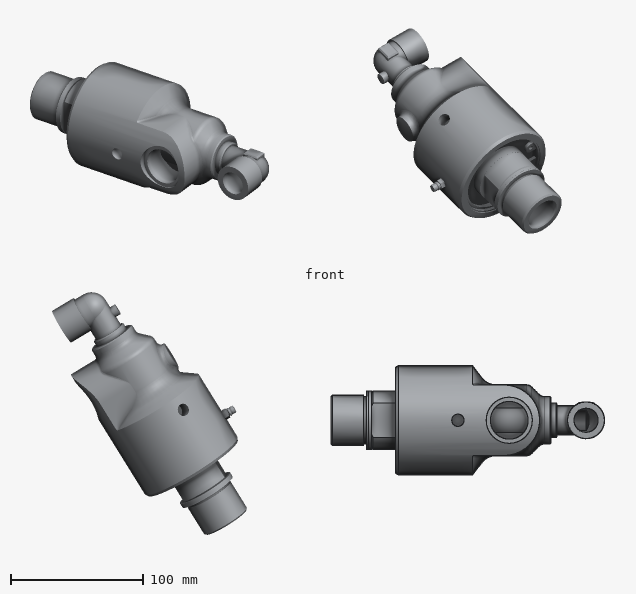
import cadquery as cq
import math


thread_dia = 38.1
thread_len = 24.7
thread_chamfer = 1.2
relief_dia = 36.0
collar_start = 27.0
collar_step = 28.4
collar_end = 30.8
collar_dia = 44.65
rotor_dia = 44.5
rotor_shoulder_chamfer = 1.2
flat_spacing = 36.0
flat_end = 49.0
spindle_dia = collar_dia
rotor_bore_dia = 25.0
rotor_bore_depth = 40.0
rotor_bore_chamfer = 0.9

body_dia = 82.6
body_r = body_dia / 2
body_start = 48.8
front_chamfer_len = 2.2
front_chamfer_depth = 1.3
recess_dia = 67.6
recess_mouth_dia = 70.0
recess_mouth_depth = 1.0
recess_depth = 8.0
spindle_end = body_start + recess_depth + 1.0
waist_r = 26.9
waist_start = 124.7
waist_end = 148.0
rear_run = 10.2
rear_slope = math.radians(52.2)
rear_rise = rear_run * math.tan(rear_slope / 2)
body_end = waist_start - rear_run - (body_r - waist_r - rear_rise) / math.tan(rear_slope)
shoulder_run = 3.8
gland_fillet_run = 4.1
quarter_turn_slope = math.tan(math.radians(45) / 2)
gland_start = 161.5
gland_end = 166.6
nut_chamfer = 0.8
nut_r = 13.2
nut_end = 171.2

ring_front = 52.0
ring_thickness = 2.5
ring_inner_dia = 65.6
ring_inner_offset = -1.4
ring_gap_half_angle = 27.0
lug_y = -28.4
lug_z = 9.66
lug_r = 4.4
lug_hole_dia = 3.5

arm_half_width = 26.6
arm_end_x = 131.3
arm_fillet = 2.0
arm_overlap = 10.0
port_x = 135.0
port_dia = 28.57
spotface_dia = 34.9
spotface_y = -37.0
core_dia = 38.25
core_flat_height = 18.25
port_floor_y = -math.sqrt(core_dia**2 - core_flat_height**2) / 2

boss_top_y = 31.3
boss_r = 10.5
boss_base_y = 20.0
boss_fillet = 4.0

weep_x = 96.1
weep_dia = 9.3
weep_depth = 12.0
weep_count = 3

fitting_x = 71.1
fitting_hex_flats = 7.0
fitting_hex_top = 44.7
fitting_top = 50.71
fitting_root = body_r - 2.0
fitting_neck_r = 2.68
fitting_rib_r = 3.4
fitting_rib_y = 46.3
fitting_rib_width = 0.6
fitting_rib_bevel = 0.7
fitting_head_r = 3.0
fitting_head_y = 48.6
fitting_tip_r = 2.8

elbow_pipe_dia = 22.0
elbow_body_dia = 25.0
outlet_dia = 28.0
overall_length = 207.14
outlet_x = overall_length - outlet_dia / 2
outlet_start_y = -9.3
outlet_end_y = -28.0
outlet_bore_dia = 18.25
pipe_bore_dia = 15.88
drill_half_angle = math.radians(59)
plug_x = 182.5
plug_dia = 8.6
plug_top_y = 15.2
pad_length = 12.8
pad_width = 10.2
pad_top_z = 13.5
pad_chamfer = 1.0


def rod_x(dia, x_start, x_end):
    """Cylinder on the rotation axis between two X stations."""
    return cq.Workplane("YZ").workplane(offset=x_start).circle(dia / 2).extrude(x_end - x_start)


def rod_y(dia, x, y_start, y_end):
    """Cylinder parallel to Y, through (x, z = 0), between two Y stations."""
    heading = math.copysign(1, y_end - y_start)
    plane = cq.Plane(origin=(x, y_start, 0), xDir=(1, 0, 0), normal=(0, heading, 0))
    return cq.Workplane(plane).circle(dia / 2).extrude(abs(y_end - y_start))


def turned_on_x(points):
    """Solid of revolution about X from (x, radius) points."""
    return cq.Workplane("XY").polyline(points).close().revolve(360, (0, 0, 0), (1, 0, 0))


def drill(dia, start, direction, depth):
    """Drilled hole with a conical tip."""
    r = dia / 2
    tip_length = r / math.tan(drill_half_angle)
    axis = cq.Vector(*direction)
    plane = cq.Plane(origin=start, xDir=(0, 0, 1), normal=direction)
    barrel = cq.Workplane(plane).circle(r).extrude(depth)
    tip = cq.Solid.makeCone(r, 0, tip_length, cq.Vector(*start) + axis * depth, axis)
    return barrel.union(cq.Workplane(tip))


def make_rotor():
    thread_r = thread_dia / 2
    rotor_r = rotor_dia / 2
    rotor = turned_on_x([
        (0, 0),
        (0, thread_r - thread_chamfer),
        (thread_chamfer, thread_r),
        (thread_len, thread_r),
        (thread_len, relief_dia / 2),
        (collar_start, relief_dia / 2),
        (collar_start, rotor_r),
        (collar_step, rotor_r),
        (collar_step, collar_dia / 2),
        (collar_end, collar_dia / 2),
        (collar_end, rotor_r - rotor_shoulder_chamfer),
        (collar_end + rotor_shoulder_chamfer, rotor_r),
        (flat_end, rotor_r),
        (flat_end, spindle_dia / 2),
        (spindle_end, spindle_dia / 2),
        (spindle_end, 0),
    ])
    flat_len = flat_end - collar_end
    for side in (-1, 1):
        cut_depth = rotor_r
        cutter = cq.Workplane("XY").box(flat_len, cut_depth, rotor_dia).translate(
            (collar_end + flat_len / 2, side * (flat_spacing / 2 + cut_depth / 2), 0))
        rotor = rotor.cut(cutter)
    bore_r = rotor_bore_dia / 2
    bore = turned_on_x([
        (0, 0),
        (0, bore_r + rotor_bore_chamfer),
        (rotor_bore_chamfer, bore_r),
        (rotor_bore_depth, bore_r),
        (rotor_bore_depth, 0),
    ])
    return rotor.cut(bore)


def make_housing():
    shoulder_start = waist_end + shoulder_run
    shoulder_r = waist_r - shoulder_run * quarter_turn_slope
    cone_end = gland_start - gland_fillet_run
    cone_end_r = shoulder_r - (cone_end - shoulder_start)
    gland_r = cone_end_r - gland_fillet_run * quarter_turn_slope
    profile = (
        cq.Workplane("XY")
        .moveTo(body_start, 0)
        .lineTo(body_start, body_r - front_chamfer_depth)
        .lineTo(body_start + front_chamfer_len, body_r)
        .lineTo(body_end, body_r)
        .lineTo(waist_start - rear_run, waist_r + rear_rise)
        .tangentArcPoint((waist_start, waist_r), relative=False)
        .lineTo(waist_end, waist_r)
        .tangentArcPoint((shoulder_start, shoulder_r), relative=False)
        .lineTo(cone_end, cone_end_r)
        .tangentArcPoint((gland_start, gland_r), relative=False)
        .lineTo(gland_end - nut_chamfer, gland_r)
        .lineTo(gland_end, gland_r - nut_chamfer)
        .lineTo(gland_end, nut_r)
        .lineTo(nut_end - nut_chamfer, nut_r)
        .lineTo(nut_end, nut_r - nut_chamfer)
        .lineTo(nut_end, 0)
        .close()
    )
    housing = profile.revolve(360, (0, 0, 0), (1, 0, 0)).union(make_arm())
    housing = housing.edges("%HYPERBOLA").fillet(arm_fillet)
    boss_foot = cq.selectors.BoxSelector(
        (arm_end_x - 2 * boss_r, boss_base_y, -2 * boss_r),
        (arm_end_x + 2 * boss_r, boss_top_y, 2 * boss_r))
    curved = cq.selectors.TypeSelector("BSPLINE")
    return housing.union(make_boss()).edges(boss_foot & curved).fillet(boss_fillet)


def make_arm():
    start_x = body_end - arm_overlap
    stadium = (
        cq.Workplane("XZ")
        .moveTo(start_x, -arm_half_width)
        .lineTo(arm_end_x, -arm_half_width)
        .threePointArc((arm_end_x + arm_half_width, 0), (arm_end_x, arm_half_width))
        .lineTo(start_x, arm_half_width)
        .close()
        .extrude(body_r)
    )
    return stadium.intersect(rod_x(body_dia, start_x, arm_end_x + arm_half_width))


def make_boss():
    return rod_y(2 * boss_r, arm_end_x, boss_base_y, boss_top_y)


def cut_recess(part):
    mouth = rod_x(recess_mouth_dia, body_start, body_start + recess_mouth_depth)
    recess = rod_x(recess_dia, body_start, body_start + recess_depth)
    return part.cut(mouth.union(recess))


def make_retaining_ring():
    """Open snap ring with two plier lugs, gap towards -Y."""
    ring = rod_x(recess_dia, ring_front, ring_front + ring_thickness)
    hollow = rod_x(ring_inner_dia, ring_front, ring_front + ring_thickness)
    ring = ring.cut(hollow.translate((0, ring_inner_offset, 0)))
    gap_reach = recess_dia
    gap_rise = gap_reach * math.tan(math.radians(ring_gap_half_angle))
    gap = (
        cq.Workplane("YZ").workplane(offset=ring_front)
        .polyline([(0, 0), (-gap_reach, gap_rise), (-gap_reach, -gap_rise)]).close()
        .extrude(ring_thickness)
    )
    ring = ring.cut(gap)
    rim = rod_x(recess_dia, ring_front, ring_front + ring_thickness)
    for side in (-1, 1):
        lug = rod_x(2 * lug_r, ring_front, ring_front + ring_thickness)
        arm = cq.Workplane("XY").box(ring_thickness, lug_r * 2, lug_r * 2).translate(
            (ring_front + ring_thickness / 2, -lug_r, 0))
        lug = lug.union(arm).translate((0, lug_y, side * lug_z)).intersect(rim)
        hole = rod_x(lug_hole_dia, ring_front, ring_front + ring_thickness)
        ring = ring.union(lug).cut(hole.translate((0, lug_y, side * lug_z)))
    return ring


def cut_port(part):
    spotface = rod_y(spotface_dia, port_x, -body_r, spotface_y)
    bore = rod_y(port_dia, port_x, -body_r, port_floor_y)
    core = rod_x(core_dia, port_x - port_dia, port_x + port_dia)
    return part.cut(spotface).cut(bore.cut(core))


def cut_weep_holes(part):
    hole = rod_y(weep_dia, weep_x, -body_r, -body_r + weep_depth)
    for i in range(weep_count):
        part = part.cut(hole.rotate((0, 0, 0), (1, 0, 0), 360 / weep_count * i))
    return part


def make_fitting():
    hexagon = (
        cq.Workplane("XZ", origin=(fitting_x, fitting_root, 0))
        .polygon(6, fitting_hex_flats / math.cos(math.pi / 6))
        .extrude(-(fitting_hex_top - fitting_root))
    )
    rib_start = fitting_rib_y - fitting_rib_width / 2
    rib_end = fitting_rib_y + fitting_rib_width / 2
    stem = (
        cq.Workplane("XY")
        .polyline([
            (0, fitting_hex_top),
            (fitting_neck_r, fitting_hex_top),
            (fitting_neck_r, rib_start - fitting_rib_bevel),
            (fitting_rib_r, rib_start),
            (fitting_rib_r, rib_end),
            (fitting_neck_r, rib_end + fitting_rib_bevel),
            (fitting_head_r, fitting_head_y),
            (fitting_tip_r, fitting_top),
            (0, fitting_top),
        ])
        .close()
        .revolve(360, (0, 0, 0), (0, 1, 0))
        .translate((fitting_x, 0, 0))
    )
    return hexagon.union(stem)


def make_elbow():
    pipe_r = elbow_pipe_dia / 2
    body_centre_y = pipe_r - elbow_body_dia / 2
    pipe = rod_x(elbow_pipe_dia, nut_end, outlet_x)
    dome = cq.Workplane("XY").sphere(elbow_body_dia / 2).translate((outlet_x, body_centre_y, 0))
    leg = rod_y(elbow_body_dia, outlet_x, body_centre_y, outlet_start_y)
    outlet = rod_y(outlet_dia, outlet_x, outlet_start_y, outlet_end_y)
    pad = (
        cq.Workplane("XY").rect(pad_length, pad_width).extrude(pad_top_z)
        .faces(">Z").edges().chamfer(pad_chamfer)
        .translate((outlet_x, 0, 0))
    )
    plug = rod_y(plug_dia, plug_x, 0, plug_top_y)
    elbow = pipe.union(dome).union(leg).union(outlet).union(pad).union(plug)
    outlet_bore = drill(outlet_bore_dia, (outlet_x, outlet_end_y, 0), (0, 1, 0), -outlet_end_y)
    pipe_bore = drill(pipe_bore_dia, (nut_end, 0, 0), (1, 0, 0), outlet_x - nut_end)
    return elbow.cut(outlet_bore).cut(pipe_bore)


housing = cut_weep_holes(cut_port(cut_recess(make_housing())))
result = (
    housing
    .union(make_retaining_ring())
    .union(make_rotor())
    .union(make_fitting())
    .union(make_elbow())
)